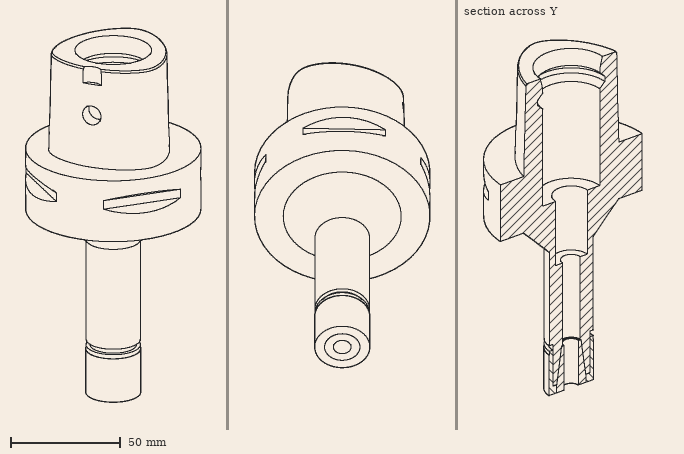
import cadquery as cq
import math

total_length = 168.0
shank_end_z = 26.0
cone_end_z = 75.1
flange_bottom_z = 90.0
flange_top_z = 120.0

flange_radius = 40.0
cone_top_radius = 26.9
shank_radius = 12.5

groove_count = 4
first_groove_angle = 45.0
groove_floor_distance = 35.3
groove_floor_width = 4.2
groove_flank_angle = 30.0
groove_clearance = 1.7
groove_z = flange_top_z - 12.0

taper_mean_radius = 27.5
taper_lobe_height = 2.0
taper_slope = 1 / 40
top_bevel_height = 1.0
top_bevel_width = 0.5

notch_depth = 7.7
notch_radius = 6.0
notch_bottom_y = -22.2
pocket_radius = 4.5
pocket_drop = 22.8
pocket_floor_y = -17.6

mouth_radius = 17.5
bore_radius = 16.0
mouth_depth = 6.2
land_depth = 8.0
undercut_radius = 18.8
bore_depth = 67.2
undercut_width = 2.7

counterbore_radius = 8.9
counterbore_depth = 100.8
passage_radius = 4.9

nut_radius = 12.6
nut_collar_radius = 12.5
nut_collar_z = 21.3
nut_top_z = 23.4
spigot_radius = 10.5
nut_lip_thickness = 4.2

collet_nose_radius = 8.0
collet_bore_radius = 4.0
collet_length = 23.5
collet_taper_angle = 8.0
collet_back_radius = collet_nose_radius - (collet_length - nut_lip_thickness) * math.tan(
    math.radians(collet_taper_angle)
)


def revolve_about_axis(points):
    """Turn a closed (radius, z) outline about the Z axis, starting on the -Y side."""
    outline = [(-radius, z) for radius, z in points]
    return cq.Workplane("YZ").polyline(outline).close().revolve(360, (0, 0, 0), (0, 1, 0))


def cylinder(radius, bottom_z, top_z):
    return cq.Workplane("XY").workplane(offset=bottom_z).circle(radius).extrude(top_z - bottom_z)


def lobed_wire(mean_radius, z):
    """Constant-width curve with three lobes, one of them pointing to +Y."""

    def point(turn):
        angle = 2 * math.pi * turn
        lobe_phase = 3 * (angle - math.pi / 2)
        reach = mean_radius + taper_lobe_height * math.cos(lobe_phase)
        reach_rate = -3 * taper_lobe_height * math.sin(lobe_phase)
        return cq.Vector(
            reach * math.cos(angle) - reach_rate * math.sin(angle),
            reach * math.sin(angle) + reach_rate * math.cos(angle),
            z,
        )

    seam_turn = 0.75
    point_count = 48
    points = [point(seam_turn + i / point_count) for i in range(point_count)]
    return cq.Wire.assembleEdges([cq.Edge.makeSpline(points, periodic=True)])


def make_taper():
    bevel_z = total_length - top_bevel_height
    bevel_radius = taper_mean_radius - taper_slope * (bevel_z - flange_top_z)
    base = lobed_wire(taper_mean_radius, flange_top_z)
    bevel_start = lobed_wire(bevel_radius, bevel_z)
    top = lobed_wire(bevel_radius - top_bevel_width, total_length)
    flank = cq.Solid.makeLoft([base, bevel_start], True)
    bevel = cq.Solid.makeLoft([bevel_start, top], True)
    return cq.Workplane(flank).union(cq.Workplane(bevel))


def make_turned_body():
    """Flange, relief cone, shank and the spigot that carries the nut."""
    return revolve_about_axis(
        [
            (0, nut_lip_thickness),
            (spigot_radius, nut_lip_thickness),
            (spigot_radius, shank_end_z),
            (shank_radius, shank_end_z),
            (shank_radius, cone_end_z),
            (cone_top_radius, flange_bottom_z),
            (flange_radius, flange_bottom_z),
            (flange_radius, flange_top_z),
            (0, flange_top_z),
        ]
    )


def make_gripper_grooves():
    """Straight grooves with a flat floor and sloping flanks."""
    outer_distance = flange_radius + groove_clearance
    floor_half = groove_floor_width / 2
    flank_rise = (outer_distance - groove_floor_distance) * math.tan(math.radians(groove_flank_angle))
    groove = (
        cq.Workplane("XZ")
        .polyline(
            [
                (groove_floor_distance, groove_z - floor_half),
                (outer_distance, groove_z - floor_half - flank_rise),
                (outer_distance, groove_z + floor_half + flank_rise),
                (groove_floor_distance, groove_z + floor_half),
            ]
        )
        .close()
        .extrude(flange_radius, both=True)
    )
    grooves = cq.Workplane("XY")
    for i in range(groove_count):
        angle = first_groove_angle + i * 360 / groove_count
        grooves = grooves.union(groove.rotate((0, 0, 0), (0, 0, 1), angle))
    return grooves


def make_key_notch():
    axis_y = notch_bottom_y - notch_radius
    return cylinder(notch_radius, total_length - notch_depth, total_length).translate((0, axis_y, 0))


def make_side_pocket():
    pocket_z = total_length - pocket_drop
    return (
        cq.Workplane("XZ", origin=(0, pocket_floor_y, pocket_z))
        .circle(pocket_radius)
        .extrude(taper_mean_radius)
    )


def make_bore():
    """Tapered mouth, land, undercut with 45 degree flanks, then stepped holes down to the collet."""
    undercut_reach = undercut_radius - bore_radius
    undercut_top_depth = land_depth + undercut_reach
    undercut_bottom_depth = undercut_top_depth + undercut_width
    radius_and_depth = [
        (mouth_radius, 0),
        (bore_radius, mouth_depth),
        (bore_radius, land_depth),
        (undercut_radius, undercut_top_depth),
        (undercut_radius, undercut_bottom_depth),
        (bore_radius, undercut_bottom_depth + undercut_reach),
        (bore_radius, bore_depth),
        (counterbore_radius, bore_depth),
        (counterbore_radius, counterbore_depth),
        (passage_radius, counterbore_depth),
        (passage_radius, total_length),
        (0, total_length),
        (0, 0),
    ]
    return revolve_about_axis([(radius, total_length - depth) for radius, depth in radius_and_depth])


def make_collet_blank():
    """Outside shape of the collet: straight nose, then a taper narrowing upward."""
    return revolve_about_axis(
        [
            (0, 0),
            (collet_nose_radius, 0),
            (collet_nose_radius, nut_lip_thickness),
            (collet_back_radius, collet_length),
            (0, collet_length),
        ]
    )


def make_holder():
    holder = make_turned_body().union(make_taper())
    cutters = [
        make_gripper_grooves(),
        make_key_notch(),
        make_side_pocket(),
        make_bore(),
        make_collet_blank(),
    ]
    for cutter in cutters:
        holder = holder.cut(cutter)
    return holder


def make_nut():
    body = cylinder(nut_radius, 0, nut_collar_z)
    collar = cylinder(nut_collar_radius, nut_collar_z, nut_top_z)
    spigot_hole = cylinder(spigot_radius, nut_lip_thickness, nut_top_z)
    nose_hole = cylinder(collet_nose_radius, 0, nut_lip_thickness)
    return body.union(collar).cut(spigot_hole).cut(nose_hole)


def make_collet():
    return make_collet_blank().cut(cylinder(collet_bore_radius, 0, collet_length))


holder = make_holder()
nut = make_nut()
collet = make_collet()

result = cq.Compound.makeCompound([holder.solids().val(), nut.solids().val(), collet.solids().val()])